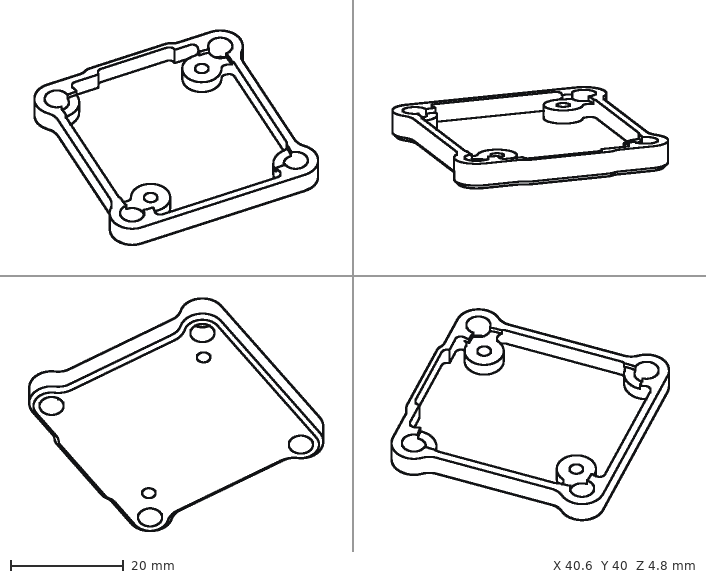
import cadquery as cq
import math

body_width = 39.95
hole_pitch = 31.95
height = 4.8
neck_recess = 1.95
neck_fillet = 3.5
bottom_chamfer = 0.77

bulge_depth = 0.6
bulge_radius = 2.0
bulge_flat_length = 14.85

floor_thickness = 1.5
side_wall = 1.45
end_wall = 1.6
bulge_wall = 0.97
bulge_pocket_low_y = -6.65
bulge_pocket_high_y = 8.25
cavity_corner_radius = 1.0

boss_top = 3.95
screw_boss_radius = 3.5
screw_x = 12.98
screw_y = 11.0
corner_hole_diameter = 4.3
screw_hole_diameter = 2.4

recess_overrun = 0.25
recess_corner_radius = 3.4

hole_offset = hole_pitch / 2
half_x = body_width / 2
half_y = half_x - neck_recess
corner_radius = half_x - hole_offset
corner_points = [(x, y) for x in (-hole_offset, hole_offset) for y in (-hole_offset, hole_offset)]
screw_points = [(-screw_x, screw_y), (screw_x, -screw_y)]


def rectangle(x_min, x_max, y_min, y_max, depth):
    """Block standing on Z = 0."""
    return cq.Workplane("XY").box(
        x_max - x_min, y_max - y_min, depth, centered=False
    ).translate((x_min, y_min, 0))


def cylinders(points, radius, depth):
    return cq.Workplane("XY").pushPoints(points).circle(radius).extrude(depth)


def plate():
    """Straight-sided plate with four ears blended into the +Y and -Y sides."""
    sides = rectangle(-half_x, half_x, -hole_offset, hole_offset, height)
    middle = rectangle(-hole_offset, hole_offset, -half_y, half_y, height)
    body = sides.union(middle).union(cylinders(corner_points, corner_radius, height))
    necks = cq.selectors.BoxSelector(
        (-hole_offset, -half_x, 0), (hole_offset, half_x, height)
    )
    return body.edges("|Z").edges(necks).fillet(neck_fillet)


def bulge():
    """Shallow pad on the -X side with an S-shaped ramp at each end."""
    ramp_run = math.sqrt(bulge_depth * (4 * bulge_radius - bulge_depth))
    ramp_angle = math.asin(ramp_run / (2 * bulge_radius))
    mid_run = bulge_radius * math.sin(ramp_angle / 2)
    mid_rise = bulge_radius * (1 - math.cos(ramp_angle / 2))
    foot_y = bulge_flat_length / 2 + ramp_run
    flat_y = bulge_flat_length / 2
    middle_y = flat_y + ramp_run / 2
    outer_x = -half_x - bulge_depth
    middle_x = -half_x - bulge_depth / 2
    return (
        cq.Workplane("XY")
        .moveTo(-half_x, -foot_y)
        .threePointArc((-half_x - mid_rise, mid_run - foot_y), (middle_x, -middle_y))
        .threePointArc((outer_x + mid_rise, -flat_y - mid_run), (outer_x, -flat_y))
        .lineTo(outer_x, flat_y)
        .threePointArc((outer_x + mid_rise, flat_y + mid_run), (middle_x, middle_y))
        .threePointArc((-half_x - mid_rise, foot_y - mid_run), (-half_x, foot_y))
        .lineTo(-hole_offset, foot_y)
        .lineTo(-hole_offset, -foot_y)
        .close()
        .extrude(height)
    )


def round_inside_corners(block):
    """Round the inside corners of a pocket as a round cutter would leave them."""
    depth = block.val().BoundingBox().zmax
    outline = block.faces("<Z").wires().val()
    shrunk = outline.offset2D(-cavity_corner_radius)[0]
    rounded = shrunk.offset2D(cavity_corner_radius)[0]
    return cq.Workplane("XY").add(rounded).toPending().extrude(depth)


def room(depth):
    """Sharp-cornered space inside the walls and between the corner bosses."""
    main_room = rectangle(
        side_wall - half_x, half_x - side_wall, end_wall - half_y, half_y - end_wall, depth
    )
    bulge_room = rectangle(
        bulge_wall - bulge_depth - half_x, 0, bulge_pocket_low_y, bulge_pocket_high_y, depth
    )
    corner_bosses = cylinders(corner_points, corner_radius, depth)
    return main_room.union(bulge_room).cut(corner_bosses)


def lower_cavity():
    """Pocket from the floor to the rim, leaving the screw bosses standing."""
    depth = height - floor_thickness
    screw_bosses = cylinders(screw_points, screw_boss_radius, depth)
    pocket = round_inside_corners(room(depth).cut(screw_bosses))
    return pocket.translate((0, 0, floor_thickness))


def upper_cavity():
    """Space above the bosses: the room without screw bosses, plus the recess."""
    depth = height - boss_top
    reach = hole_offset + recess_overrun
    recess = rectangle(-reach, reach, -reach, reach, depth)
    recess = recess.edges("|Z").fillet(recess_corner_radius)
    pocket = round_inside_corners(room(depth)).union(recess)
    return pocket.translate((0, 0, boss_top))


body = plate().union(bulge()).faces("<Z").chamfer(bottom_chamfer)
body = body.cut(lower_cavity()).cut(upper_cavity())
body = body.cut(cylinders(corner_points, corner_hole_diameter / 2, height))
result = body.cut(cylinders(screw_points, screw_hole_diameter / 2, height))